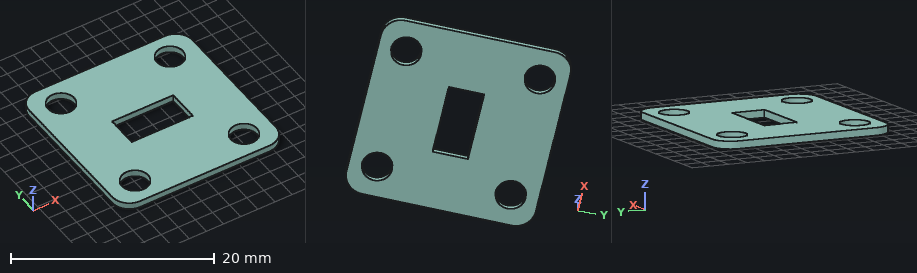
import cadquery as cq

side = 19.1
thickness = 0.8
corner_radius = 2.0

window_length = 7.1
window_width = 3.55

hole_diameter = 3.0
hole_spacing_x = 12.7
hole_spacing_y = 13.47

plate = cq.Workplane("XY").rect(side, side).extrude(thickness).edges("|Z").fillet(corner_radius)

window = cq.Workplane("XY").rect(window_length, window_width).extrude(thickness)

bolt_holes = (
    cq.Workplane("XY")
    .rect(hole_spacing_x, hole_spacing_y, forConstruction=True)
    .vertices()
    .circle(hole_diameter / 2)
    .extrude(thickness)
)

result = plate.cut(window).cut(bolt_holes)